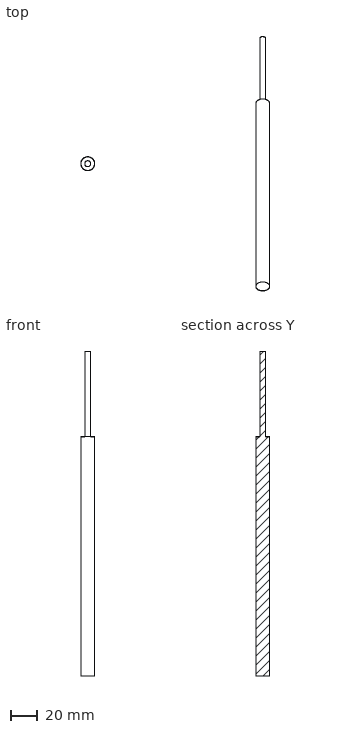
import cadquery as cq

total_length = 244.0
body_diameter = 10.5
body_length = 180.0
pin_diameter = 4.5
pin_length = total_length - body_length


def make_body():
    """Thick lower cylinder."""
    return cq.Workplane("XY").circle(body_diameter / 2).extrude(body_length)


def add_pin(body):
    """Thin coaxial pin rising from the top of the body."""
    return body.faces(">Z").workplane().circle(pin_diameter / 2).extrude(pin_length)


result = add_pin(make_body())